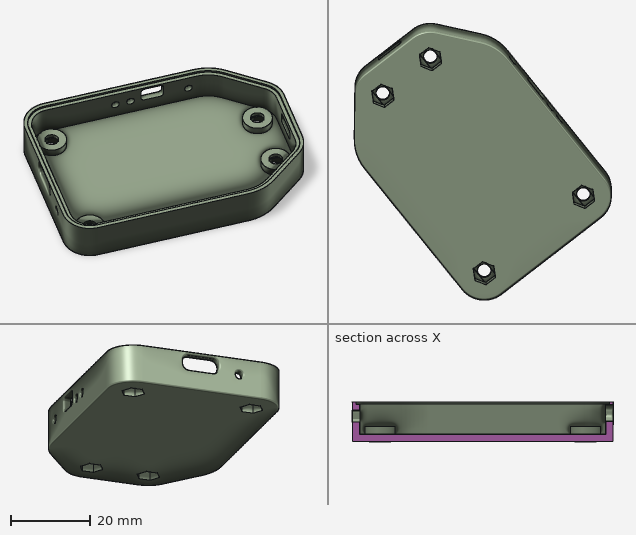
import cadquery as cq

WIDTH = 46.0
LENGTH = 66.0
HEIGHT = 10.1

BACK_EDGE_HALF = 11.0
SHOULDER_Y = 18.2
CORNER_RADIUS = 7.05
SHOULDER_RADIUS = 12.0

WALL = 2.0
FLOOR = 2.0
LIP_WIDTH = 1.0
LIP_DEPTH = 0.5
EDGE_ROUND = 0.5

BOSS_DIAMETER = 7.5
BOSS_HEIGHT = 2.0
SCREW_DIAMETER = 3.4
FRONT_BOSS_X = WIDTH / 2 - CORNER_RADIUS
BACK_BOSS_X = 7.65
BOSS_Y = LENGTH / 2 - CORNER_RADIUS

NUT_ACROSS_FLATS = 5.2
NUT_DEPTH = 2.45
NUT_SLOT_HEIGHT = 0.5
NUT_SIDES = 6
NUT_TURN = 180 / NUT_SIDES

PIN_DIAMETER = 2.0
PIN_Z = 5.9
FRONT_PIN_X = 10.15
SIDE_PIN_YS = (11.9, -3.4, -7.45)

FRONT_PORT = (9.85, 4.1, 1.8)
FRONT_PORT_X = -0.2
FRONT_PORT_Z = 7.3
SIDE_PORT = (5.95, 3.8, 0.9)
SIDE_PORT_Y = 2.3
SIDE_PORT_Z = 7.2
BACK_PORT = (7.1, 2.9, 0.65)
BACK_PORT_X = -0.1
BACK_PORT_Z = 6.55

FRONT_WALL = cq.Plane((0, -LENGTH / 2, 0), xDir=(1, 0, 0), normal=(0, -1, 0))
BACK_WALL = cq.Plane((0, LENGTH / 2, 0), xDir=(-1, 0, 0), normal=(0, 1, 0))
SIDE_WALL = cq.Plane((-WIDTH / 2, 0, 0), xDir=(0, -1, 0), normal=(-1, 0, 0))


def outline_prism(inset, bottom, top):
    """Rounded outline, moved inward by inset, filling Z from bottom to top."""
    half_width = WIDTH / 2
    half_length = LENGTH / 2
    corners = [
        (-half_width, -half_length),
        (half_width, -half_length),
        (half_width, SHOULDER_Y),
        (BACK_EDGE_HALF, half_length),
        (-BACK_EDGE_HALF, half_length),
        (-half_width, SHOULDER_Y),
    ]
    outline = cq.Workplane("XY").workplane(offset=bottom).polyline(corners).close()
    if inset:
        outline = outline.offset2D(-inset, "intersection")
    prism = outline.extrude(top - bottom)
    prism = prism.edges("|Z").edges("not(<Y or >Y)").fillet(SHOULDER_RADIUS - inset)
    return prism.edges("|Z and (<Y or >Y)").fillet(CORNER_RADIUS - inset)


def make_shell():
    """Open tray with a stepped rim and a rounded bottom edge."""
    body = outline_prism(0, 0, HEIGHT).faces("<Z").edges().fillet(EDGE_ROUND)
    cavity = outline_prism(WALL, FLOOR, HEIGHT)
    rim_step = outline_prism(LIP_WIDTH, HEIGHT - LIP_DEPTH, HEIGHT)
    return body.cut(cavity).cut(rim_step)


def nut_pocket_cutter():
    """Hexagonal pocket from below, topped by a thin slot with sides tangent to the screw hole."""
    pocket_top = NUT_DEPTH + NUT_SLOT_HEIGHT
    hexagon = (
        cq.Workplane("XY")
        .polygon(NUT_SIDES, NUT_ACROSS_FLATS, circumscribed=True)
        .extrude(pocket_top)
        .rotate((0, 0, 0), (0, 0, 1), NUT_TURN)
    )
    slot_limit = cq.Workplane("XY").box(
        SCREW_DIAMETER, 2 * NUT_ACROSS_FLATS, pocket_top, centered=(True, True, False)
    )
    nut_space = cq.Workplane("XY").circle(NUT_ACROSS_FLATS).extrude(NUT_DEPTH)
    return hexagon.intersect(slot_limit.union(nut_space))


def add_bosses(tray):
    """Add four round bosses with screw holes, and a nut pocket beneath each one."""
    centers = []
    for side in (-1, 1):
        centers.append((side * FRONT_BOSS_X, -BOSS_Y))
        centers.append((side * BACK_BOSS_X, BOSS_Y))
    boss_top = FLOOR + BOSS_HEIGHT
    bosses = cq.Workplane("XY").pushPoints(centers).circle(BOSS_DIAMETER / 2).extrude(boss_top)
    tray = tray.union(bosses)
    nut_pocket = nut_pocket_cutter()
    for x, y in centers:
        screw_hole = cq.Workplane("XY").center(x, y).circle(SCREW_DIAMETER / 2).extrude(boss_top)
        tray = tray.cut(screw_hole).cut(nut_pocket.translate((x, y, 0)))
    return tray


def port_cutter(wall, size, along, z):
    """Rounded rectangular block running inward through a wall."""
    width, height, radius = size
    return (
        cq.Workplane(wall).center(along, z).rect(width, height).extrude(-WALL)
        .edges(cq.selectors.ParallelDirSelector(wall.zDir)).fillet(radius)
    )


def pin_cutter(wall, along, z):
    """Round hole running inward through a wall."""
    return cq.Workplane(wall).center(along, z).circle(PIN_DIAMETER / 2).extrude(-WALL)


def cut_openings(tray):
    """Cut every wall opening and round the outer rims at the front and side."""
    tray = tray.cut(port_cutter(FRONT_WALL, FRONT_PORT, FRONT_PORT_X, FRONT_PORT_Z))
    tray = tray.cut(pin_cutter(FRONT_WALL, FRONT_PIN_X, PIN_Z))
    tray = tray.cut(port_cutter(SIDE_WALL, SIDE_PORT, -SIDE_PORT_Y, SIDE_PORT_Z))
    for pin_y in SIDE_PIN_YS:
        tray = tray.cut(pin_cutter(SIDE_WALL, -pin_y, PIN_Z))
    for wall_face in ("<Y", "<X"):
        rims = tray.faces(wall_face).val().innerWires()
        tray = tray.newObject([edge for rim in rims for edge in rim.Edges()]).fillet(EDGE_ROUND)
    return tray.cut(port_cutter(BACK_WALL, BACK_PORT, -BACK_PORT_X, BACK_PORT_Z))


result = cut_openings(add_bosses(make_shell()))